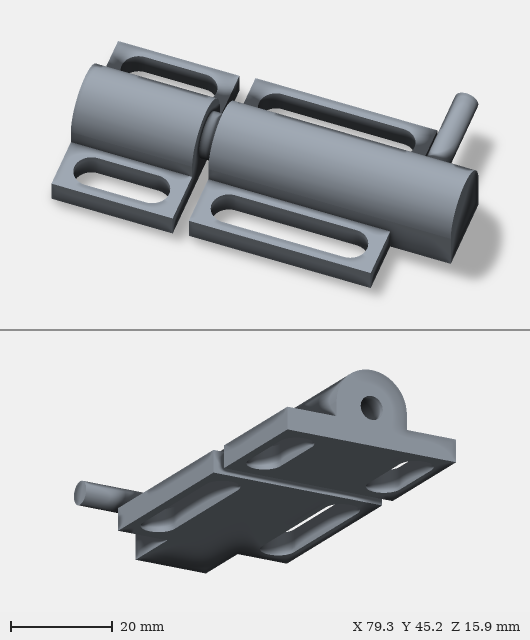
import cadquery as cq

total_length = 79.3
barrel_width = 15.9
barrel_radius = barrel_width / 2
barrel_height = 15.9
axis_height = barrel_height - barrel_radius
plate_width = 38.1
plate_thickness = 4.75
slot_width = 7.15
slot_offset = 13.5

keeper_length = 25.4
keeper_y = -0.55
keeper_slot_length = 19.8
keeper_hole_diameter = 5.0

gap = 3.2
housing_start = keeper_length + gap
housing_length = total_length - housing_start
housing_plate_length = 38.1
housing_slot_length = 32.5

bolt_diameter = 9.7
bolt_end_wall = 4.0
bolt_length = total_length - bolt_end_wall - keeper_length
bolt_y = 0.15
handle_diameter = 4.9
handle_x = 70.4
handle_tip_y = 25.55


def rod_along_x(start, length, diameter, y):
    """Round rod on the barrel axis height."""
    return (
        cq.Workplane("YZ", origin=(start, y, axis_height))
        .circle(diameter / 2)
        .extrude(length)
    )


def barrel(start, length, y):
    """Upright block with a half-round top."""
    return (
        cq.Workplane("YZ", origin=(start, y, 0))
        .moveTo(-barrel_radius, 0)
        .lineTo(-barrel_radius, axis_height)
        .threePointArc((0, barrel_height), (barrel_radius, axis_height))
        .lineTo(barrel_radius, 0)
        .close()
        .extrude(length)
    )


def slotted_plate(start, length, slot_length, y):
    """Mounting plate with one long slot on each side of the barrel."""
    plate = cq.Workplane("XY", origin=(start + length / 2, y, 0)).rect(length, plate_width)
    slots = (
        cq.Workplane("XY", origin=(start + length / 2, y, 0))
        .pushPoints([(0, -slot_offset), (0, slot_offset)])
        .slot2D(slot_length, slot_width)
        .extrude(plate_thickness)
    )
    return plate.extrude(plate_thickness).cut(slots)


def make_handle():
    """Cross pin reaching from the bolt axis to its free end."""
    return (
        cq.Workplane("XZ", origin=(handle_x, bolt_y, axis_height))
        .circle(handle_diameter / 2)
        .extrude(-(handle_tip_y - bolt_y))
    )


def make_bolt(handle):
    """Round bolt with a socket for the handle."""
    return rod_along_x(keeper_length, bolt_length, bolt_diameter, bolt_y).cut(handle)


def make_keeper():
    """Slotted plate and barrel with a through hole that the bolt closes off."""
    plate = slotted_plate(0, keeper_length, keeper_slot_length, keeper_y)
    hole = rod_along_x(0, keeper_length, keeper_hole_diameter, keeper_y)
    return barrel(0, keeper_length, keeper_y).union(plate).cut(hole)


def make_housing(bolt, handle):
    """Slotted plate and longer barrel, bored for the bolt and the handle."""
    plate = slotted_plate(housing_start, housing_plate_length, housing_slot_length, 0)
    body = barrel(housing_start, housing_length, 0).union(plate)
    return body.cut(bolt).cut(handle)


handle = make_handle()
bolt = make_bolt(handle)
keeper = make_keeper()
housing = make_housing(bolt, handle)

result = cq.Compound.makeCompound([keeper.val(), housing.val(), bolt.val(), handle.val()])